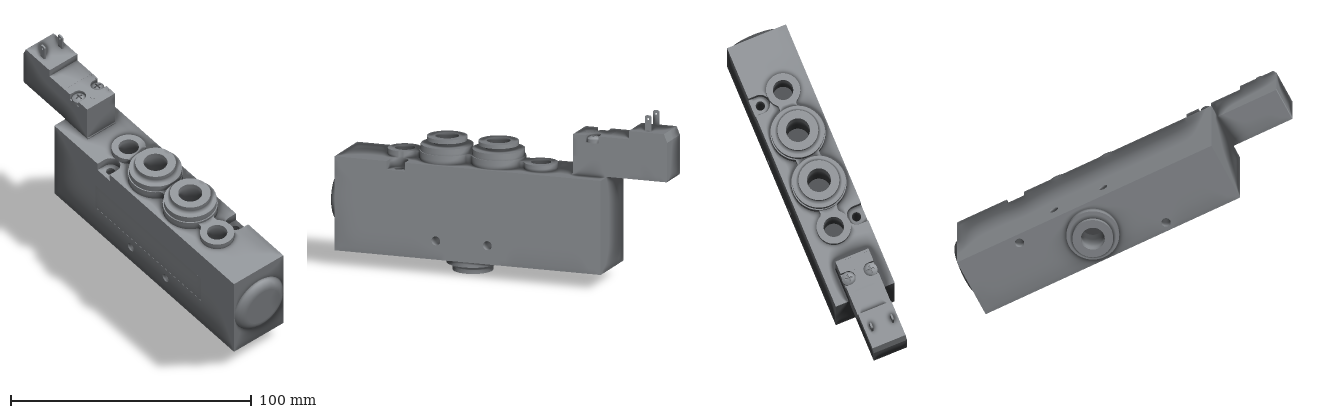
import cadquery as cq
import math


HOUSING_LENGTH = 118.3
HOUSING_WIDTH = 26.5
HOUSING_HEIGHT = 40.3
PORT_CENTRE_X = 61.8

CAP_HEIGHT = 3.0
CAP_CENTRE_Z = 20.8
CAP_DIAMETER = 25.9
CAP_EDGE_RADIUS = 4.5

MAIN_PORT_PITCH = 22.9
PEDESTAL_DIAMETER = MAIN_PORT_PITCH
PEDESTAL_HEIGHT = 3.7
BRIDGE_WIDTH = 10.4
LINK_FILLET = 1.5
COLLAR_DIAMETER = 22.0
COLLAR_HEIGHT = 2.8
NECK_DIAMETER = 11.0
NECK_HEIGHT = 1.6
FLANGE_DIAMETER = 17.0
FLANGE_HEIGHT = 1.6
MAIN_BORE_DIAMETER = 10.0
TOP_BORE_DEPTH = 22.3
BOTTOM_BORE_DEPTH = 14.9

EXHAUST_OFFSET_X = 30.8
EXHAUST_OFFSET_Y = 1.3
EXHAUST_BOSS_DIAMETER = 14.3
EXHAUST_BOSS_HEIGHT = 2.7
EXHAUST_BORE_DIAMETER = 8.5
EXHAUST_BORE_DEPTH = 14.9
RIB_WIDTH = 7.5
RIB_OFFSET_Y = 0.6

MOUNT_HOLE_DIAMETER = 3.9
MOUNT_OFFSET_X = 29.3
MOUNT_OFFSET_Y = 9.5
MOUNT_POCKET_WIDTH = 8.0
MOUNT_POCKET_DEPTH = 3.7
SIDE_HOLE_Z = 8.0
LABEL_LENGTH = 69.5
LABEL_HEIGHT = 13.1
LABEL_BOTTOM_Z = 13.2
SHALLOW_DEPTH = 0.07

PILOT_LENGTH = 41.9
PILOT_WIDTH = 14.9
PILOT_OVERHANG = 27.3
PILOT_HIGH = 20.5
PILOT_LOW = 17.0
PILOT_STEP_X = 17.1
PILOT_CHAMFER_X = 1.5
PILOT_CHAMFER_Z = 3.5
PILOT_FOOT_CHAMFER_X = 0.22
PILOT_FOOT_CHAMFER_Z = 0.7
COVER_START_X = -0.5
COVER_LENGTH = 14.1
COVER_WIDTH = 13.2
BUTTON_X = 10.0
BUTTON_DIAMETER = 3.9

GASKET_THICKNESS = 0.5
GASKET_LIP = 0.5

SCREW_X = 6.1
SCREW_OFFSET_Y = 4.9
SCREW_HEAD_DIAMETER = 5.8
SCREW_SEAT_DEPTH = 3.1
SCREW_RIM_HEIGHT = 1.6
SCREW_DOME_HEIGHT = 1.0
CROSS_LENGTH = 3.3
CROSS_WIDTH = 0.7
CROSS_DEPTH = 1.2

TERMINAL_X = -17.8
TERMINAL_PITCH = 9.4
TERMINAL_WIDTH = 2.7
TERMINAL_THICKNESS = 0.7
TERMINAL_HEIGHT = 6.7
TERMINAL_CORNER = 0.7
TERMINAL_HOLE_DIAMETER = 1.0
TERMINAL_HOLE_DROP = 1.5

PILOT_LEFT = -PILOT_OVERHANG
PILOT_RIGHT = PILOT_LEFT + PILOT_LENGTH
PILOT_BOTTOM = HOUSING_HEIGHT + GASKET_THICKNESS
PILOT_HIGH_TOP = PILOT_BOTTOM + PILOT_HIGH
PILOT_LOW_TOP = PILOT_BOTTOM + PILOT_LOW
MAIN_PORT_XS = [PORT_CENTRE_X + side * MAIN_PORT_PITCH / 2 for side in (-1, 1)]
FITTING_HEIGHT = COLLAR_HEIGHT + NECK_HEIGHT + FLANGE_HEIGHT


def cylinder(x, y, z, diameter, height):
    """Upright cylinder standing on z."""
    return cq.Workplane("XY", origin=(x, y, z)).circle(diameter / 2).extrude(height)


def box(x_start, x_end, width, y, z, height):
    """Block from x_start to x_end, centred on y and standing on z."""
    return (
        cq.Workplane("XY", origin=((x_start + x_end) / 2, y, z))
        .rect(x_end - x_start, width)
        .extrude(height)
    )


def turned_about_ports(shape):
    """Copy turned half a turn about the axis of the port pattern."""
    return shape.rotate((PORT_CENTRE_X, 0, 0), (PORT_CENTRE_X, 0, 1), 180)


def end_cap():
    """Round cap whose rim is an arc that runs smoothly into a flat end face."""
    rim_radius = CAP_DIAMETER / 2
    arc_centre = CAP_HEIGHT - CAP_EDGE_RADIUS
    flat_radius = rim_radius - math.sqrt(CAP_EDGE_RADIUS**2 - arc_centre**2)
    mid_angle = math.acos(-arc_centre / CAP_EDGE_RADIUS) / 2
    mid_point = (
        arc_centre + CAP_EDGE_RADIUS * math.cos(mid_angle),
        flat_radius + CAP_EDGE_RADIUS * math.sin(mid_angle),
    )
    return (
        cq.Workplane("XY")
        .lineTo(0, rim_radius)
        .threePointArc(mid_point, (CAP_HEIGHT, flat_radius))
        .lineTo(CAP_HEIGHT, 0)
        .close()
        .revolve(360, (0, 0, 0), (1, 0, 0))
        .translate((HOUSING_LENGTH, 0, CAP_CENTRE_Z))
    )


def fitting(x, z):
    """Collar, neck and flange of one push-in fitting, pointing up from z."""
    collar = cylinder(x, 0, z, COLLAR_DIAMETER, COLLAR_HEIGHT)
    neck = cylinder(x, 0, z + COLLAR_HEIGHT, NECK_DIAMETER, NECK_HEIGHT)
    flange = cylinder(x, 0, z + COLLAR_HEIGHT + NECK_HEIGHT, FLANGE_DIAMETER, FLANGE_HEIGHT)
    return collar.union(neck).union(flange)


def linked(left_round, right_round, bar):
    """Two upright cylinders joined by a bar, with the inner corners filleted."""
    return left_round.union(right_round).union(bar).edges("|Z").edges("not >X").fillet(LINK_FILLET)


def pedestal(x, height):
    return cylinder(x, 0, HOUSING_HEIGHT, PEDESTAL_DIAMETER, height)


def exhaust_boss():
    """Boss of the -X exhaust port, joined by a rib to a disc inside the nearest pedestal."""
    boss_x = PORT_CENTRE_X - EXHAUST_OFFSET_X
    port_x = MAIN_PORT_XS[0]
    boss = cylinder(boss_x, EXHAUST_OFFSET_Y, HOUSING_HEIGHT, EXHAUST_BOSS_DIAMETER, EXHAUST_BOSS_HEIGHT)
    rib = box(boss_x, port_x, RIB_WIDTH, RIB_OFFSET_Y, HOUSING_HEIGHT, EXHAUST_BOSS_HEIGHT)
    return linked(boss, pedestal(port_x, EXHAUST_BOSS_HEIGHT), rib)


def main_pedestals():
    """Round pedestals of the two top ports with the bridge between them."""
    left, right = (pedestal(x, PEDESTAL_HEIGHT) for x in MAIN_PORT_XS)
    bridge = box(*MAIN_PORT_XS, BRIDGE_WIDTH, 0, HOUSING_HEIGHT, PEDESTAL_HEIGHT)
    return linked(left, right, bridge)


def mount_cut():
    """Hole and side-opening pocket at the -X, -Y mounting point."""
    x = PORT_CENTRE_X - MOUNT_OFFSET_X
    pocket_floor = HOUSING_HEIGHT - MOUNT_POCKET_DEPTH
    pocket_height = MOUNT_POCKET_DEPTH + EXHAUST_BOSS_HEIGHT
    half_width = MOUNT_POCKET_WIDTH / 2
    hole = cylinder(x, -MOUNT_OFFSET_Y, 0, MOUNT_HOLE_DIAMETER, HOUSING_HEIGHT)
    round_end = cylinder(x, -MOUNT_OFFSET_Y, pocket_floor, MOUNT_POCKET_WIDTH, pocket_height)
    mouth_length = HOUSING_WIDTH / 2 - MOUNT_OFFSET_Y
    mouth_y = -(HOUSING_WIDTH / 2 + MOUNT_OFFSET_Y) / 2
    mouth = box(x - half_width, x + half_width, mouth_length, mouth_y, pocket_floor, pocket_height)
    return hole.union(round_end).union(mouth)


def make_housing():
    body = box(0, HOUSING_LENGTH, HOUSING_WIDTH, 0, 0, HOUSING_HEIGHT).union(end_cap())

    boss = exhaust_boss()
    body = body.union(boss).union(turned_about_ports(boss))
    body = body.union(main_pedestals())

    top_fitting_z = HOUSING_HEIGHT + PEDESTAL_HEIGHT
    for x in MAIN_PORT_XS:
        body = body.union(fitting(x, top_fitting_z))
    bottom_fitting = fitting(PORT_CENTRE_X, 0).mirror("XY")
    body = body.union(bottom_fitting)

    for x in MAIN_PORT_XS:
        bore_floor = top_fitting_z + FITTING_HEIGHT - TOP_BORE_DEPTH
        body = body.cut(cylinder(x, 0, bore_floor, MAIN_BORE_DIAMETER, TOP_BORE_DEPTH))
    body = body.cut(cylinder(PORT_CENTRE_X, 0, -FITTING_HEIGHT, MAIN_BORE_DIAMETER, BOTTOM_BORE_DEPTH))
    exhaust_bore = cylinder(
        PORT_CENTRE_X - EXHAUST_OFFSET_X,
        EXHAUST_OFFSET_Y,
        HOUSING_HEIGHT + EXHAUST_BOSS_HEIGHT - EXHAUST_BORE_DEPTH,
        EXHAUST_BORE_DIAMETER,
        EXHAUST_BORE_DEPTH,
    )
    body = body.cut(exhaust_bore).cut(turned_about_ports(exhaust_bore))

    mount = mount_cut()
    body = body.cut(mount).cut(turned_about_ports(mount))
    side_holes = (
        cq.Workplane("XZ", origin=(0, HOUSING_WIDTH / 2, 0))
        .pushPoints([(x, SIDE_HOLE_Z) for x in MAIN_PORT_XS])
        .circle(MOUNT_HOLE_DIAMETER / 2)
        .extrude(HOUSING_WIDTH)
    )
    body = body.cut(side_holes)

    label_y = (SHALLOW_DEPTH - HOUSING_WIDTH) / 2
    label_left = PORT_CENTRE_X - LABEL_LENGTH / 2
    label = box(label_left, label_left + LABEL_LENGTH, SHALLOW_DEPTH, label_y, LABEL_BOTTOM_Z, LABEL_HEIGHT)
    return body.cut(label)


def make_gasket():
    return box(0, PILOT_RIGHT + GASKET_LIP, PILOT_WIDTH, 0, HOUSING_HEIGHT, GASKET_THICKNESS)


def screw_seat(side):
    """Slot for one screw head, open to the nearer side face."""
    z = PILOT_LOW_TOP - SCREW_SEAT_DEPTH
    radius = SCREW_HEAD_DIAMETER / 2
    round_end = cylinder(SCREW_X, side * SCREW_OFFSET_Y, z, SCREW_HEAD_DIAMETER, SCREW_SEAT_DEPTH)
    mouth_length = PILOT_WIDTH / 2 - SCREW_OFFSET_Y
    mouth_y = side * (PILOT_WIDTH / 2 + SCREW_OFFSET_Y) / 2
    mouth = box(SCREW_X - radius, SCREW_X + radius, mouth_length, mouth_y, z, SCREW_SEAT_DEPTH)
    return round_end.union(mouth)


def screw_head(side):
    """Domed head with a cross recess."""
    seat_z = PILOT_LOW_TOP - SCREW_SEAT_DEPTH
    radius = SCREW_HEAD_DIAMETER / 2
    top = SCREW_RIM_HEIGHT + SCREW_DOME_HEIGHT
    dome_radius = (radius**2 + SCREW_DOME_HEIGHT**2) / (2 * SCREW_DOME_HEIGHT)
    mid_r = radius / 2
    mid_z = top - dome_radius + math.sqrt(dome_radius**2 - mid_r**2)
    head = (
        cq.Workplane("XZ")
        .lineTo(radius, 0)
        .lineTo(radius, SCREW_RIM_HEIGHT)
        .threePointArc((mid_r, mid_z), (0, top))
        .close()
        .revolve(360, (0, 0, 0), (0, 1, 0))
    )
    for length, width in ((CROSS_LENGTH, CROSS_WIDTH), (CROSS_WIDTH, CROSS_LENGTH)):
        head = head.cut(box(-length / 2, length / 2, width, 0, top - CROSS_DEPTH, CROSS_DEPTH))
    return head.translate((SCREW_X, side * SCREW_OFFSET_Y, seat_z))


def terminal(side):
    """Upright blade with rounded tip corners and a small hole."""
    return (
        cq.Workplane("XY", origin=(TERMINAL_X, side * TERMINAL_PITCH / 2, PILOT_HIGH_TOP))
        .rect(TERMINAL_WIDTH, TERMINAL_THICKNESS)
        .extrude(TERMINAL_HEIGHT)
        .faces(">Z").edges("|Y")
        .fillet(TERMINAL_CORNER)
        .faces("<Y").workplane(origin=(TERMINAL_X, 0, PILOT_HIGH_TOP + TERMINAL_HEIGHT - TERMINAL_HOLE_DROP))
        .hole(TERMINAL_HOLE_DIAMETER)
    )


def make_pilot():
    profile = [
        (PILOT_LEFT, PILOT_BOTTOM + PILOT_FOOT_CHAMFER_Z),
        (PILOT_LEFT + PILOT_FOOT_CHAMFER_X, PILOT_BOTTOM),
        (PILOT_RIGHT, PILOT_BOTTOM),
        (PILOT_RIGHT, PILOT_LOW_TOP),
        (PILOT_LEFT + PILOT_STEP_X, PILOT_LOW_TOP),
        (PILOT_LEFT + PILOT_STEP_X, PILOT_HIGH_TOP),
        (PILOT_LEFT + PILOT_CHAMFER_X, PILOT_HIGH_TOP),
        (PILOT_LEFT, PILOT_HIGH_TOP - PILOT_CHAMFER_Z),
    ]
    body = cq.Workplane("XZ").polyline(profile).close().extrude(PILOT_WIDTH / 2, both=True)

    cover_floor = PILOT_LOW_TOP - SHALLOW_DEPTH
    cover_end = COVER_START_X + COVER_LENGTH
    body = body.cut(box(COVER_START_X, cover_end, COVER_WIDTH, 0, cover_floor, SHALLOW_DEPTH))
    body = body.union(cylinder(BUTTON_X, 0, cover_floor, BUTTON_DIAMETER, SHALLOW_DEPTH))

    for side in (-1, 1):
        body = body.cut(screw_seat(side)).union(screw_head(side)).union(terminal(side))
    return body


housing = make_housing()
gasket = make_gasket()
pilot = make_pilot()

result = cq.Compound.makeCompound([housing.val(), gasket.val(), pilot.val()])